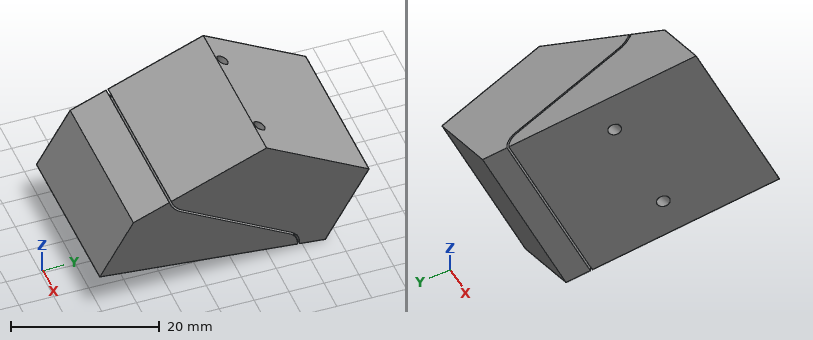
import cadquery as cq
import math

width = 24.0
rear_height = 12.5
top_length = 17.05
total_length = 29.87
nose_top = -3.55
nose_bottom = -13.15

tilt = math.radians(30)
axis_drift_y = 0.0101
axis_drift_z = -0.0104

gap = 0.3
gap_height = -0.1
rear_bend_radius = 2.5
front_bend_radius = 3.5
rear_bend_start = 5.8
front_bend_start = 23.85

hole_diameter = 1.7
hole_spacing = 14.0
hole_edge_distance = 1.0

margin = 23.37

width_direction = cq.Vector(1, axis_drift_y, axis_drift_z).normalized()
forward = cq.Vector(0, -math.cos(tilt), math.sin(tilt))
section_plane = cq.Plane(
    origin=width_direction * width,
    xDir=forward - width_direction * forward.dot(width_direction),
    normal=width_direction * -1,
)


def make_envelope():
    """Five-sided prism that encloses both blocks."""
    outline = [
        (0, 0),
        (0, rear_height),
        (top_length, rear_height),
        (total_length, nose_top),
        (total_length, nose_bottom),
    ]
    return cq.Workplane(section_plane).polyline(outline).close().extrude(width)


def make_side_of_gap(side):
    """Region above the gap (side = 1) or below it (side = -1)."""
    offset = side * gap / 2
    rear_radius = rear_bend_radius + offset
    front_radius = front_bend_radius - offset
    rear_centre_v = gap_height - rear_bend_radius
    front_centre_v = gap_height + front_bend_radius
    diagonal = math.sqrt(0.5)
    rear_u = rear_bend_start - rear_radius
    front_u = front_bend_start + front_radius
    low = nose_bottom - margin
    high = rear_height + margin
    far_u = -margin if side > 0 else total_length + margin
    return (
        cq.Workplane(section_plane)
        .moveTo(rear_u, low)
        .lineTo(rear_u, rear_centre_v)
        .threePointArc(
            (rear_bend_start - rear_radius * diagonal, rear_centre_v + rear_radius * diagonal),
            (rear_bend_start, gap_height + offset),
        )
        .lineTo(front_bend_start, gap_height + offset)
        .threePointArc(
            (front_bend_start + front_radius * diagonal, front_centre_v - front_radius * diagonal),
            (front_u, front_centre_v),
        )
        .lineTo(front_u, high)
        .lineTo(far_u, high)
        .lineTo(far_u, low)
        .close()
        .extrude(width)
    )


def make_hole_cutters():
    """Two cylinders square to the top face, near its front edge."""
    start_v = rear_height + margin
    length = start_v - nose_bottom + margin
    hole_u = top_length - hole_edge_distance
    down = section_plane.yDir * -1
    cutters = cq.Workplane()
    for side in (-1, 1):
        across = width / 2 + side * hole_spacing / 2
        start = section_plane.toWorldCoords((hole_u, start_v, across))
        cutters.add(cq.Solid.makeCylinder(hole_diameter / 2, length, start, down))
    return cutters


def make_block(side):
    """Block above the gap (side = 1) or below it (side = -1), with its holes."""
    block = make_envelope().intersect(make_side_of_gap(side))
    for cutter in make_hole_cutters().vals():
        block = block.cut(cq.Workplane(cutter))
    return block


upper_block = make_block(1)
lower_block = make_block(-1)

result = cq.Compound.makeCompound([upper_block.val(), lower_block.val()])